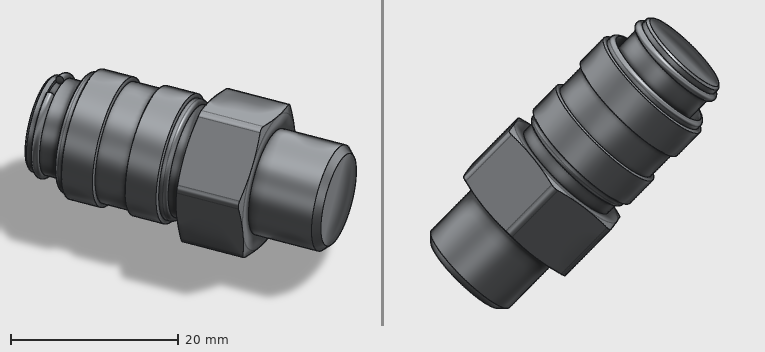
import cadquery as cq
import math

TOTAL_LENGTH = 38.15

NOSE_DIAMETER = 12.0
NOSE_FACE_DIAMETER = 11.4
NOSE_CHAMFER_LENGTH = 0.3
GROOVE_DIAMETER = 11.15
GROOVE_START = 1.0

WIRE_DIAMETER = 1.0
RING_END_TOWARD_PLUS_Y = 17.0
RING_END_TOWARD_MINUS_Y = 12.5

SLEEVE_DIAMETER = 15.1
SLEEVE_START = 4.5
SLEEVE_END = 18.95
SLEEVE_EDGE_RADIUS = 0.5
RECESS_DEPTH = 5.72
BAND_DIAMETER = 16.15
BAND_WIDTH = 4.27
BAND_INSET = 1.0
BAND_FLANK_ANGLE = 15.0

NECK_DIAMETER = 14.0

HEX_START = 20.6
HEX_LENGTH = 8.55
HEX_ACROSS_FLATS = 16.98
HEX_CORNER_RADIUS = 1.03
HEX_TILT = 9.7
HEX_CHAMFER_ANGLE = 15.0

STUD_DIAMETER = 13.15
STUD_END_DIAMETER = 11.45
STUD_CHAMFER_LENGTH = 0.88


def cylinder(diameter, start, end):
    """Cylinder about the X axis between two X positions."""
    return cq.Workplane("YZ", origin=(start, 0, 0)).circle(diameter / 2).extrude(end - start)


def revolved(profile):
    """Solid of revolution about the X axis from (x, radius) points."""
    return cq.Workplane("XY").polyline(profile).close().revolve(360, (0, 0, 0), (1, 0, 0))


def cone(start_diameter, start, end_diameter, end):
    """Truncated cone about the X axis."""
    return revolved([(start, 0), (start, start_diameter / 2), (end, end_diameter / 2), (end, 0)])


def make_nose():
    """Closed nose with a chamfered face and a ring groove; its shank runs on inside the sleeve."""
    chamfer = cone(NOSE_FACE_DIAMETER, 0, NOSE_DIAMETER, NOSE_CHAMFER_LENGTH)
    groove_end = GROOVE_START + WIRE_DIAMETER
    lip = cylinder(NOSE_DIAMETER, NOSE_CHAMFER_LENGTH, GROOVE_START)
    groove_floor = cylinder(GROOVE_DIAMETER, GROOVE_START, groove_end)
    shank = cylinder(NOSE_DIAMETER, groove_end, SLEEVE_END)
    return chamfer.union(lip).union(groove_floor).union(shank)


def make_band(start):
    """Raised band whose two flanks lean inward from its base at the sleeve surface."""
    flank = (BAND_DIAMETER - SLEEVE_DIAMETER) / 2 * math.tan(math.radians(BAND_FLANK_ANGLE))
    end = start + BAND_WIDTH
    return revolved(
        [
            (start, 0),
            (start, SLEEVE_DIAMETER / 2),
            (start + flank, BAND_DIAMETER / 2),
            (end - flank, BAND_DIAMETER / 2),
            (end, SLEEVE_DIAMETER / 2),
            (end, 0),
        ]
    )


def make_sleeve():
    """Rounded sleeve with two raised bands and a recess open at its front."""
    sleeve = cylinder(SLEEVE_DIAMETER, SLEEVE_START, SLEEVE_END).edges().fillet(SLEEVE_EDGE_RADIUS)
    for start in (SLEEVE_START + BAND_INSET, SLEEVE_END - BAND_INSET - BAND_WIDTH):
        sleeve = sleeve.union(make_band(start))
    return sleeve.cut(cylinder(NECK_DIAMETER, SLEEVE_START, SLEEVE_START + RECESS_DEPTH))


def make_hexagon():
    """Hexagon with rounded corners, chamfered at both end faces."""
    across_corners = HEX_ACROSS_FLATS / math.cos(math.radians(30))
    prism = (
        cq.Workplane("YZ", origin=(HEX_START, 0, 0))
        .transformed(rotate=(0, 0, 90 + HEX_TILT))
        .polygon(6, across_corners)
        .extrude(HEX_LENGTH)
        .edges("|X")
        .fillet(HEX_CORNER_RADIUS)
    )
    rise = (across_corners - HEX_ACROSS_FLATS) / 2
    run = rise * math.tan(math.radians(HEX_CHAMFER_ANGLE))
    end = HEX_START + HEX_LENGTH
    trim = revolved(
        [
            (HEX_START, 0),
            (HEX_START, HEX_ACROSS_FLATS / 2),
            (HEX_START + run, across_corners / 2),
            (end - run, across_corners / 2),
            (end, HEX_ACROSS_FLATS / 2),
            (end, 0),
        ]
    )
    return prism.intersect(trim)


def make_stud():
    """Plain round stud with a chamfered end."""
    chamfer_start = TOTAL_LENGTH - STUD_CHAMFER_LENGTH
    stud = cylinder(STUD_DIAMETER, HEX_START + HEX_LENGTH, chamfer_start)
    return stud.union(cone(STUD_DIAMETER, chamfer_start, STUD_END_DIAMETER, TOTAL_LENGTH))


def make_housing():
    """Nose, sleeve, neck, hexagon and stud as one solid."""
    neck = cylinder(NECK_DIAMETER, SLEEVE_START + RECESS_DEPTH, HEX_START)
    return make_nose().union(make_sleeve()).union(neck).union(make_hexagon()).union(make_stud())


def make_snap_ring():
    """Open ring of round wire resting on the groove floor, with its gap at the top."""
    ring_radius = (GROOVE_DIAMETER + WIRE_DIAMETER) / 2
    sweep = 360 - RING_END_TOWARD_PLUS_Y - RING_END_TOWARD_MINUS_Y
    wire = (
        cq.Workplane("XZ")
        .center(GROOVE_START + WIRE_DIAMETER / 2, ring_radius)
        .circle(WIRE_DIAMETER / 2)
        .revolve(sweep, (-0.4, -ring_radius, 0), (0.4, -ring_radius, 0))
    )
    return wire.rotate((0, 0, 0), (1, 0, 0), RING_END_TOWARD_MINUS_Y)


housing = make_housing()
snap_ring = make_snap_ring()

result = cq.Compound.makeCompound([housing.val(), snap_ring.val()])